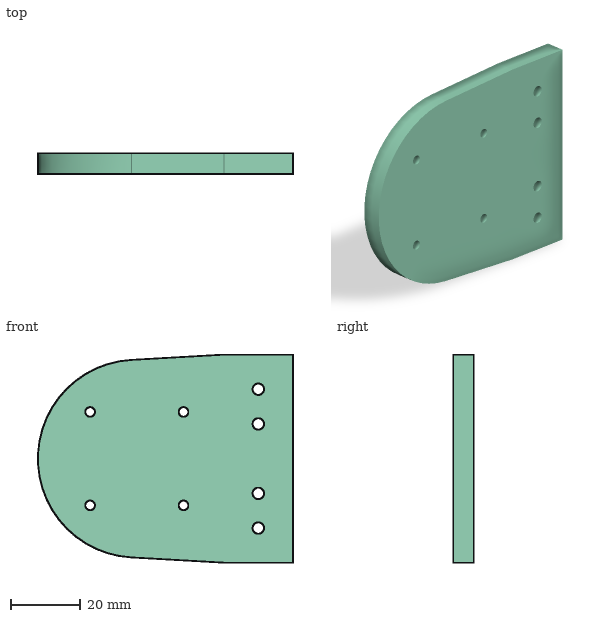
import cadquery as cq
import math

length = 73.5
height = 60.0
thickness = 6.0
half_height = height / 2

nose_radius = 28.5
tail_length = 20.0
nose_x = nose_radius
tail_x = length - tail_length

square_hole_diameter = 2.7
square_hole_spacing = 26.9
tail_hole_diameter = 3.2
tail_hole_pitch = 10.0
tail_hole_x = length - tail_hole_pitch

flank_run = tail_x - nose_x
corner_distance = math.hypot(flank_run, half_height)
tangent_angle = math.atan2(half_height, flank_run) + math.acos(nose_radius / corner_distance)
tangent_x = nose_x + nose_radius * math.cos(tangent_angle)
tangent_z = nose_radius * math.sin(tangent_angle)


def make_plate():
    """Extrude the outline from Y = 0 to Y = thickness."""
    return (
        cq.Workplane("XZ")
        .moveTo(length, -half_height)
        .lineTo(length, half_height)
        .lineTo(tail_x, half_height)
        .lineTo(tangent_x, tangent_z)
        .threePointArc((0, 0), (tangent_x, -tangent_z))
        .lineTo(tail_x, -half_height)
        .close()
        .extrude(-thickness)
    )


def make_holes(centers, diameter):
    """Round cutters through the plate at the given (X, Z) centers."""
    return cq.Workplane("XZ").pushPoints(centers).circle(diameter / 2).extrude(-thickness)


half_spacing = square_hole_spacing / 2
square_centers = [
    (nose_x + side * half_spacing, level * half_spacing)
    for side in (-1, 1)
    for level in (-1, 1)
]

tail_centers = [(tail_hole_x, step * tail_hole_pitch) for step in (-2, -1, 1, 2)]

result = (
    make_plate()
    .cut(make_holes(square_centers, square_hole_diameter))
    .cut(make_holes(tail_centers, tail_hole_diameter))
)